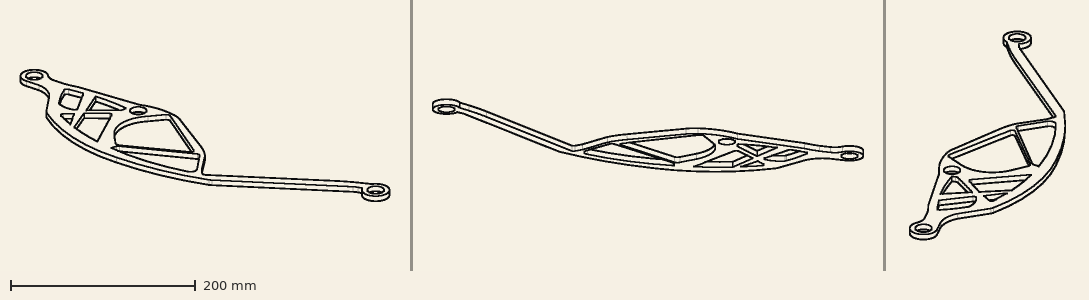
import cadquery as cq

thickness = 6.3
eye_radius = 15.0
bore_diameter = 18.0
eye_spacing = 460.0
pivot_x = 140.0
eye_centers = [(0.0, 0.0), (eye_spacing, 0.0)]
bore_centers = eye_centers + [(pivot_x, 0.0)]

neck_top = 4.2
neck_fillet = 16.0


def line(x, y, radius=0.0):
    """Straight edge to (x, y), whose corner is rounded by radius."""
    return {"end": (x, y), "via": None, "radius": radius}


def arc(via, x, y, radius=0.0):
    """Arc through via to (x, y), whose corner is rounded by radius."""
    return {"end": (x, y), "via": via, "radius": radius}


def fillet_at(solid, point, radius):
    """Round the upright edge that stands at the given point."""
    x, y = point
    nearest_edge = cq.selectors.NearestToPointSelector((x, y, thickness / 2))
    return solid.edges("|Z").edges(nearest_edge).fillet(radius)


def plate(edges):
    """Extrude the closed outline made of edges; it starts where the last edge ends."""
    sketch = cq.Workplane("XY").moveTo(*edges[-1]["end"])
    for edge in edges:
        if edge["via"] is None:
            sketch = sketch.lineTo(*edge["end"])
        else:
            sketch = sketch.threePointArc(edge["via"], edge["end"])
    solid = sketch.close().extrude(thickness)
    for edge in edges:
        if edge["radius"] > 0:
            solid = fillet_at(solid, edge["end"], edge["radius"])
    return solid


def discs(centers, radius):
    """Upright cylinders through the full thickness."""
    return cq.Workplane("XY").pushPoints(centers).circle(radius).extrude(thickness)


def make_frame():
    """Outer outline, clockwise from the left eye, with the two eyes added."""
    outline = [
        line(0, neck_top),
        line(36, neck_top),
        arc((45, 5.2), 54, 7.0),
        line(132, 12.2),
        arc((156, 16.8), 178, 14.5),
        arc((184, 12.6), 190, 9.0),
        line(245, -28.1),
        arc((254, -34.9), 262, -43.0, 3),
        line(280, -73.5),
        line(288, -82.0, 3),
        line(412, -8.3),
        arc((424, -1.7), 436, 3.9),
        line(448, 9.0),
        line(eye_spacing, 0),
        line(446, -5.0),
        line(438, -7.2, 20),
        line(302, -87.7, 15),
        arc((246, -100.6), 188, -104.5),
        arc((122, -94.0), 62, -62.0, 8),
        line(41, -28.0),
        arc((31, -19.3), 17, -eye_radius),
        line(0, -eye_radius),
    ]
    frame = plate(outline).union(discs(eye_centers, eye_radius))
    neck_corner_x = (eye_radius**2 - neck_top**2) ** 0.5
    return fillet_at(frame, (neck_corner_x, neck_top), neck_fillet)


def make_windows():
    """Six lightening windows; the walls left between them are the struts."""
    neck_window = [
        line(67.5, -1.8, 1),
        line(86.0, -38.5, 3),
        arc((71.0, -40.6), 60.5, -36.9, 3),
        arc((52.5, -23.0), 45.0, -4.4, 3),
    ]
    upper_window = [
        line(82.7, 0.0),
        arc((104.0, -0.5), 125.7, -3.0),
        line(125.7, -9.0, 4),
        line(94.5, -32.7),
    ]
    middle_window = [
        line(96.7, -40.0),
        line(121.7, -22.0, 3),
        line(148.7, -86.0),
        arc((128.0, -80.5), 108.3, -73.4),
    ]
    small_window = [
        line(88.6, -47.0),
        line(100.6, -70.0),
        line(76.3, -57.5, 3),
    ]
    main_window = [
        line(249.5, -44.0, 3),
        line(169.9, -80.6, 5),
        line(154.0, -62.3),
        arc((143.7, -34.0), 156.5, -4.8),
        line(172.2, 12.8, 4),
    ]
    rear_window = [
        line(256.0, -44.6, 3),
        line(280.0, -83.2, 7),
        arc((225.0, -91.9), 170.0, -89.5),
        line(173.0, -81.8, 4),
    ]
    windows = [neck_window, upper_window, middle_window, small_window, main_window, rear_window]
    return [plate(window) for window in windows]


result = make_frame()
for window in make_windows():
    result = result.cut(window)
result = result.cut(discs(bore_centers, bore_diameter / 2))